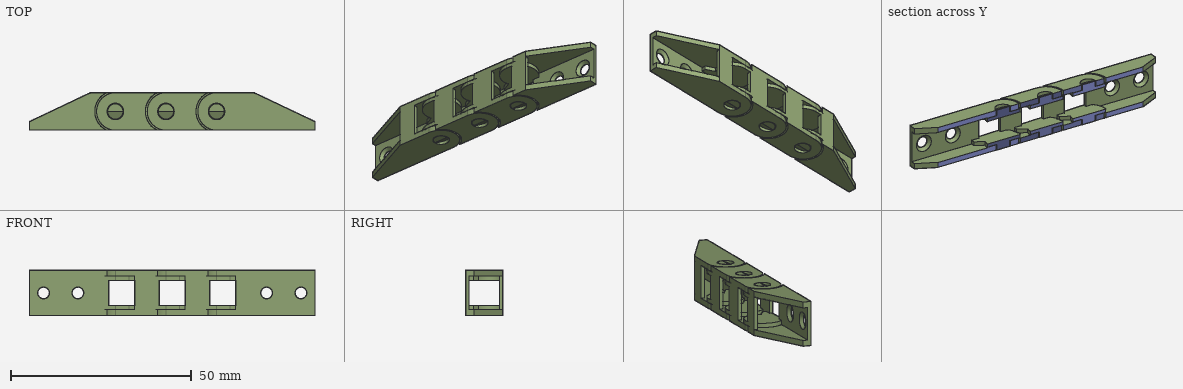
import cadquery as cq
import math

chain_length = 79.0
depth = 10.35
height = 12.6
front_y = -depth / 2
back_y = depth / 2

hinge_count = 3
hinge_pitch = 14.0
first_hinge_x = 23.8
hinge_xs = [first_hinge_x + i * hinge_pitch for i in range(hinge_count)]
ear_radius = depth / 2
socket_radius = 5.7
socket_half_chord = math.sqrt(socket_radius**2 - ear_radius**2)
pin_diameter = 4.3
pin_hole_diameter = 4.6
pin_ramp_drop = 0.95

cheek_thickness = 1.65
tongue_thickness = 1.2
wall_thickness = 1.0

wall_stop_before_hinge = 1.8
wall_start_after_hinge = 5.3

heel_length = 3.7
heel_angle = 3.0
finger_reach = 7.7
finger_root_y = -1.6
finger_slope_angle = 27.0

taper_length = 16.8
tip_depth = 2.4

mount_hole_diameter = 3.15
mount_hole_land = 0.15
mount_hole_offsets = [3.95, 13.4]


def block(x_range, y_range, z_range):
    """Axis-aligned box given by its limits."""
    size = [high - low for low, high in (x_range, y_range, z_range)]
    return cq.Workplane("XY").box(*size, centered=False).translate((x_range[0], y_range[0], z_range[0]))


def disc(x, radius, z_low, z_high):
    """Cylinder on a hinge axis."""
    return cq.Workplane("XY", origin=(x, 0, z_low)).circle(radius).extrude(z_high - z_low)


def cheek(left_hinge, right_hinge):
    """Bottom cheek: a rounded ear or tapered tip on the left, a socket or tapered tip on the right."""
    outline = cq.Workplane("XY")
    if left_hinge is None:
        outline = (outline.moveTo(taper_length, back_y)
                   .lineTo(0, front_y + tip_depth).lineTo(0, front_y))
    else:
        outline = (outline.moveTo(left_hinge, back_y)
                   .threePointArc((left_hinge - ear_radius, 0), (left_hinge, front_y)))
    if right_hinge is None:
        outline = (outline.lineTo(chain_length, front_y).lineTo(chain_length, front_y + tip_depth)
                   .lineTo(chain_length - taper_length, back_y))
    else:
        socket_edge_x = right_hinge - socket_half_chord
        outline = (outline.lineTo(socket_edge_x, front_y)
                   .threePointArc((right_hinge - socket_radius, 0), (socket_edge_x, back_y)))
    plate = outline.close().extrude(cheek_thickness)
    if left_hinge is not None:
        plate = plate.cut(disc(left_hinge, pin_hole_diameter / 2, 0, cheek_thickness))
    return plate


def tongue(hinge_x):
    """Bottom inner plate around a hinge: socket floor on the left, nose and finger on the right."""
    inner_front_y = front_y + wall_thickness
    socket_edge_x = hinge_x - socket_half_chord
    heel_x = hinge_x + heel_length
    heel_y = front_y + heel_length * math.tan(math.radians(heel_angle))
    next_wall_x = hinge_x + wall_start_after_hinge
    nose_end_x = hinge_x + math.sqrt(ear_radius**2 - finger_root_y**2)
    finger_x = hinge_x + finger_reach
    finger_y = finger_root_y - (finger_x - nose_end_x) * math.tan(math.radians(finger_slope_angle))
    nose_mid = ear_radius * math.sqrt(0.5)
    return (cq.Workplane("XY", origin=(0, 0, cheek_thickness))
            .moveTo(hinge_x, back_y)
            .lineTo(socket_edge_x, back_y)
            .radiusArc((hinge_x - socket_radius, 0), -socket_radius)
            .radiusArc((socket_edge_x, front_y), -socket_radius)
            .lineTo(hinge_x, front_y)
            .lineTo(heel_x, heel_y)
            .lineTo(next_wall_x, heel_y)
            .lineTo(next_wall_x, inner_front_y)
            .lineTo(finger_x, inner_front_y)
            .lineTo(finger_x, finger_y)
            .lineTo(nose_end_x, finger_root_y)
            .threePointArc((hinge_x + nose_mid, nose_mid), (hinge_x, back_y))
            .close().extrude(tongue_thickness))


def pin(hinge_x):
    """Bottom hinge pin, flush with the cheek, its front half ramped."""
    radius = pin_diameter / 2
    ramp = (cq.Workplane("YZ", origin=(hinge_x - radius, 0, 0))
            .polyline([(0, 0), (-radius, 0), (-radius, pin_ramp_drop)]).close().extrude(pin_diameter))
    return disc(hinge_x, radius, 0, cheek_thickness).cut(ramp)


def mirrored_pair(bottom):
    """The given bottom feature together with its copy at the top."""
    return bottom.union(bottom.mirror("XY", (0, 0, height / 2)))


def link(left_hinge=None, right_hinge=None):
    """One chain link; a missing hinge makes that side a tapered end."""
    wall_z = (cheek_thickness, height - cheek_thickness)
    front_start, back_start = 0, taper_length
    front_stop, back_stop = chain_length, chain_length - taper_length
    if left_hinge is not None:
        front_start = back_start = left_hinge + wall_start_after_hinge
    if right_hinge is not None:
        front_stop = back_stop = right_hinge - wall_stop_before_hinge
    body = mirrored_pair(cheek(left_hinge, right_hinge))
    body = body.union(block((front_start, front_stop), (front_y, front_y + wall_thickness), wall_z))
    body = body.union(block((back_start, back_stop), (back_y - wall_thickness, back_y), wall_z))
    if right_hinge is not None:
        body = body.union(mirrored_pair(tongue(right_hinge).union(pin(right_hinge))))
    return body


def mount_hole(x):
    """Cutter for one hole through the front wall: a short land, then an inward countersink."""
    land_radius = mount_hole_diameter / 2
    sink_radius = land_radius + wall_thickness - mount_hole_land
    inner_y = front_y + wall_thickness
    return (cq.Workplane("XY", origin=(x, 0, height / 2))
            .polyline([(0, front_y), (land_radius, front_y), (land_radius, front_y + mount_hole_land),
                       (sink_radius, inner_y), (0, inner_y)])
            .close().revolve(360, (0, 0), (0, 1)))


def drill_mount_holes(body, hole_xs):
    """Cut the mounting holes of an end link."""
    for x in hole_xs:
        body = body.cut(mount_hole(x))
    return body


left_end_link = drill_mount_holes(link(right_hinge=hinge_xs[0]), mount_hole_offsets)
middle_links = [link(left, right) for left, right in zip(hinge_xs, hinge_xs[1:])]
right_end_link = drill_mount_holes(link(left_hinge=hinge_xs[-1]),
                                   [chain_length - offset for offset in mount_hole_offsets])

result = cq.Compound.makeCompound(
    [left_end_link.val(), *[middle.val() for middle in middle_links], right_end_link.val()]
)